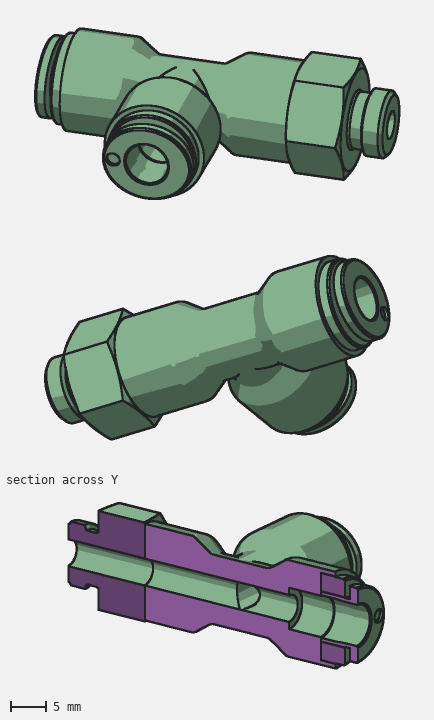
import cadquery as cq
import math


total_length = 50.75

body_dia = 14.7
neck_dia = 10.6
cone_start = 5.0
cone_end = 8.1
cone_blend = 1.0
body_end = 16.7
flow_dia = 4.0
tube_stop = 8.65

ring_dia = 13.15
ring_end = 18.35
ring_depth = 2.55
ring_chamfer = 0.25

flange_length = 13.05
flange_width = 11.4
flange_start = 19.2
flange_end = 20.65
flange_chamfer = 0.25
stem_dia = 7.5
stem_end = 14.2
tube_dia = 6.2
tube_lead_in = 0.2
flare_start_depth = 2.25
flare_end_depth = 4.0
flare_dia = 6.4
mark_dia = 2.0
mark_depth = 0.5
mark_offset = 4.95

hex_flats = 15.0
hex_length = 8.1
hex_face_dia = 14.75
hex_chamfer_length = 0.45
relief_dia = 8.2
relief_collar = 0.35
relief_collar_rise = 0.2
thread_dia = 9.75
relief_length = 2.05
thread_lead = 0.35
thread_chamfer = 0.55
adapter_end = total_length - flange_end

left_arm = cq.Plane(origin=(0, 0, 0), xDir=(0, -1, 0), normal=(-1, 0, 0))
branch_arm = cq.Plane(origin=(0, 0, 0), xDir=(-1, 0, 0), normal=(0, -1, 0))
right_arm = cq.Plane(origin=(0, 0, 0), xDir=(0, 1, 0), normal=(1, 0, 0))
socket_arms = [left_arm, branch_arm]

rim_margin = cq.Vector(0.25, 0.25, 0.25)


def rod(plane, dia, start, end):
    """Cylinder on the plane's normal, between two distances from the origin."""
    return cq.Workplane(plane).workplane(offset=start).circle(dia / 2).extrude(end - start)


def revolved(plane, outline):
    """Turn an outline of (radius, distance) points about the plane's normal."""
    return cq.Workplane(plane.rotated((90, 0, 0))).polyline(outline).close().revolve(360, (0, 0), (0, 1))


def housing_arm(plane):
    """Neck, blended cone and full-diameter body of one arm."""
    arm = revolved(plane, [
        (0, 0),
        (neck_dia / 2, 0),
        (neck_dia / 2, cone_start),
        (body_dia / 2, cone_end),
        (body_dia / 2, body_end),
        (0, body_end),
    ])
    for distance in (cone_start, cone_end):
        center = plane.toWorldCoords((0, 0, distance))
        rim = cq.selectors.BoxSelector(center - rim_margin, center + rim_margin)
        arm = arm.edges(rim).fillet(cone_blend)
    return arm


def make_housing():
    housing = housing_arm(left_arm)
    for arm in (right_arm, branch_arm):
        housing = housing.union(housing_arm(arm))
    housing = housing.cut(rod(right_arm, flow_dia, 0, body_end))
    for arm in socket_arms:
        housing = housing.cut(rod(arm, flow_dia, 0, body_end))
        housing = housing.cut(rod(arm, tube_dia, tube_stop, body_end))
        housing = housing.cut(rod(arm, stem_dia, stem_end, body_end))
        housing = housing.cut(rod(arm, ring_dia, body_end - ring_depth, body_end))
    return housing


def make_ring(plane):
    ring = rod(plane, ring_dia, body_end - ring_depth, ring_end)
    ring = ring.faces(cq.DirectionMinMaxSelector(plane.zDir)).chamfer(ring_chamfer)
    return ring.cut(rod(plane, stem_dia, 0, ring_end))


def make_button(plane):
    outer = cq.DirectionMinMaxSelector(plane.zDir)
    flange = (
        cq.Workplane(plane).workplane(offset=flange_start)
        .ellipse(flange_length / 2, flange_width / 2)
        .extrude(flange_end - flange_start)
        .faces(outer).chamfer(flange_chamfer)
    )
    mark = rod(plane, mark_dia, flange_end - mark_depth, flange_end).translate(plane.xDir * mark_offset)
    button = flange.cut(mark).union(rod(plane, stem_dia, stem_end, flange_start))
    bore = revolved(plane, [
        (0, stem_end),
        (flare_dia / 2, stem_end),
        (flare_dia / 2, flange_end - flare_end_depth),
        (tube_dia / 2, flange_end - flare_start_depth),
        (tube_dia / 2, flange_end - tube_lead_in),
        (tube_dia / 2 + tube_lead_in, flange_end),
        (0, flange_end),
    ])
    return button.cut(bore)


def make_adapter(plane):
    hex_end = body_end + hex_length
    corner_dia = hex_flats / math.cos(math.radians(30))
    hexagon = (
        cq.Workplane(plane).workplane(offset=body_end)
        .polygon(6, corner_dia)
        .extrude(hex_length)
    )
    chamfered_blank = revolved(plane, [
        (0, body_end),
        (hex_face_dia / 2, body_end),
        (corner_dia / 2, body_end + hex_chamfer_length),
        (corner_dia / 2, hex_end - hex_chamfer_length),
        (hex_face_dia / 2, hex_end),
        (0, hex_end),
    ])
    spigot = revolved(plane, [
        (0, hex_end),
        (relief_dia / 2 + relief_collar_rise, hex_end),
        (relief_dia / 2, hex_end + relief_collar),
        (relief_dia / 2, hex_end + relief_length),
        (thread_dia / 2, hex_end + relief_length + thread_lead),
        (thread_dia / 2, adapter_end - thread_chamfer),
        (thread_dia / 2 - thread_chamfer, adapter_end),
        (0, adapter_end),
    ])
    adapter = hexagon.intersect(chamfered_blank).union(spigot)
    return adapter.cut(rod(plane, flow_dia, body_end, adapter_end))


housing = make_housing()
rings = [make_ring(arm) for arm in socket_arms]
buttons = [make_button(arm) for arm in socket_arms]
adapter = make_adapter(right_arm)

result = cq.Compound.makeCompound([
    housing.val(),
    *[ring.val() for ring in rings],
    *[button.val() for button in buttons],
    adapter.val(),
])